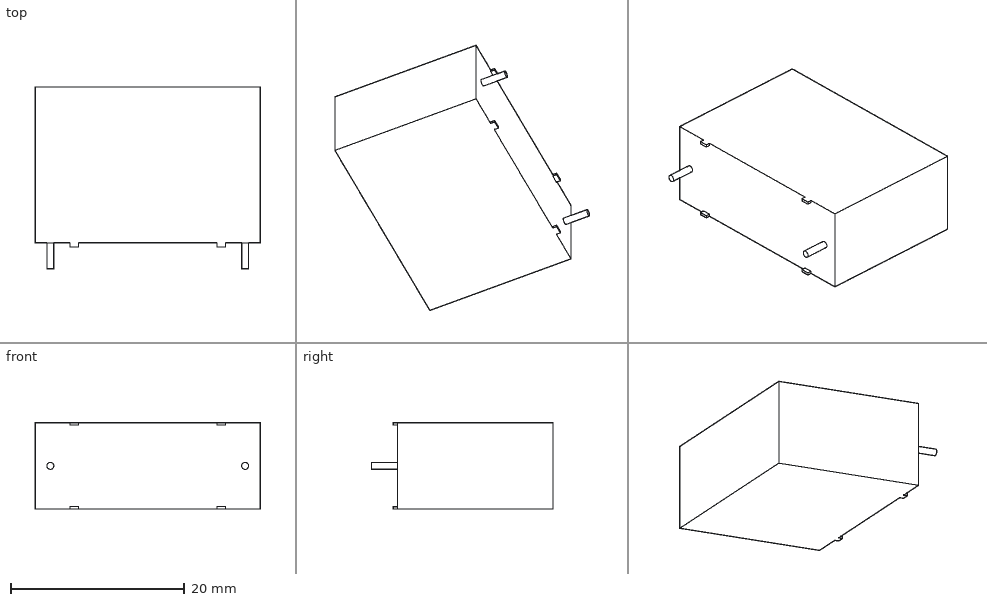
import cadquery as cq

body_width = 26.0
body_depth = 18.0
body_height = 10.0

pin_spacing = 22.5
pin_diameter = 0.8
pin_length = 3.0

foot_spacing = 17.0
foot_width = 1.0
foot_length = 0.5
foot_thickness = 0.3

foot_offset_z = (body_height - foot_thickness) / 2


def make_body():
    return cq.Workplane("XY").box(body_width, body_depth, body_height, centered=(True, False, True))


def make_pins():
    return (
        cq.Workplane("XZ")
        .rarray(pin_spacing, 1, 2, 1)
        .circle(pin_diameter / 2)
        .extrude(pin_length)
    )


def make_feet():
    return (
        cq.Workplane("XZ")
        .rarray(foot_spacing, 2 * foot_offset_z, 2, 2)
        .rect(foot_width, foot_thickness)
        .extrude(foot_length)
    )


result = make_body().union(make_pins()).union(make_feet())